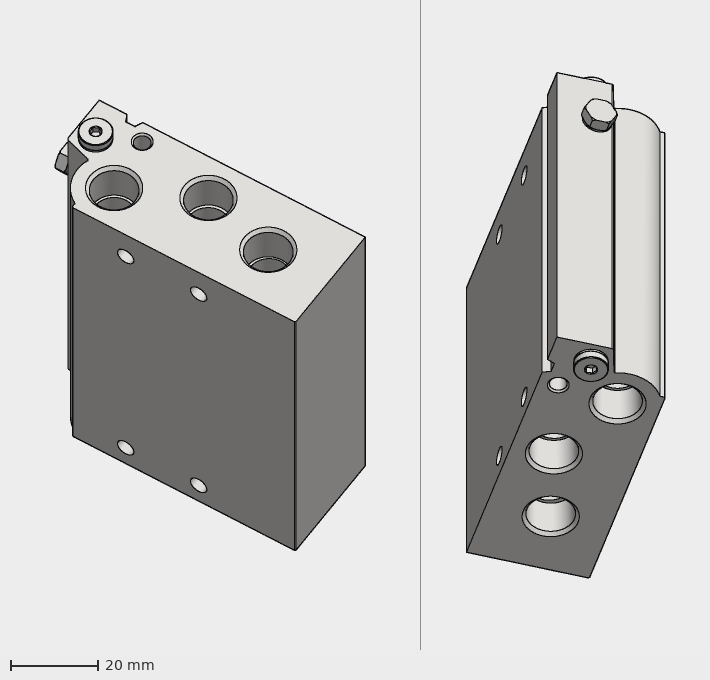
import cadquery as cq
import math


overall_length = 91.3
plug_height = 2.65
housing_length = overall_length - 2 * plug_height
housing_width = 72.95
housing_depth = 29.5
corner_chamfer = 0.3

left_face_end_y = 16.0
boss_radius = 10.0
boss_x = 16.8
boss_y = 9.95
boss_meet_y = 13.6
boss_meet_x = boss_x - math.sqrt(boss_radius**2 - (boss_meet_y - boss_y) ** 2)
foot_x = 11.7

groove_center_x = 9.8
groove_top_width = 4.3
groove_bottom_width = 2.6
groove_depth = 1.9

ports = [
    (boss_x, boss_y, boss_y, 10.0),
    (36.5, 19.4, 19.3, 10.0),
    (56.2, 14.2, 14.6, 9.8),
]
port_diameter = 11.4
port_mouth_diameter = 13.15
port_depth = 10.0

pilot_x = 14.9
pilot_y = 24.7
pilot_diameter = 4.1
pilot_mouth_diameter = 5.0

mount_diameter = 4.5
mount_center_x = 36.4
mount_center_z = -1.1
mount_pitch_x = 20.0
mount_pitch_z = 71.9

plug_x = 5.4
plug_y = 19.7
plug_diameter = 8.0
plug_neck_diameter = 7.9
plug_neck_height = 0.6
plug_edge_chamfer = 0.2
socket_flats = 2.5
socket_mouth_diameter = 3.0
socket_depth = 1.8
countersink_depth = (socket_mouth_diameter - socket_flats) / 2

screw_y = 19.9
screw_z = 30.0
screw_height = 3.5
screw_flats = 6.9
screw_corners = 8.0
screw_neck_diameter = 7.0
screw_neck_height = 0.55
screw_edge_chamfer = 0.4


def flats_to_corners(flats):
    """Corner diameter of a regular hexagon with the given width across flats."""
    return flats / math.cos(math.pi / 6)


def make_profile():
    """Housing cross-section, extruded along Z."""
    foot_y = boss_y - math.sqrt(boss_radius**2 - (boss_x - foot_x) ** 2)
    groove_floor_y = housing_depth - groove_depth
    return (
        cq.Workplane("XY", origin=(0, 0, -housing_length / 2))
        .moveTo(foot_x, 0)
        .lineTo(housing_width, 0)
        .lineTo(housing_width, housing_depth)
        .lineTo(groove_center_x + groove_top_width / 2, housing_depth)
        .lineTo(groove_center_x + groove_bottom_width / 2, groove_floor_y)
        .lineTo(groove_center_x - groove_bottom_width / 2, groove_floor_y)
        .lineTo(groove_center_x - groove_top_width / 2, housing_depth)
        .lineTo(0, housing_depth)
        .lineTo(0, left_face_end_y)
        .lineTo(boss_meet_x, boss_meet_y)
        .threePointArc((boss_x - boss_radius, boss_y), (foot_x, foot_y))
        .close()
        .extrude(housing_length)
    )


def chamfer_corners(body):
    """Break the long corners on the mounting side and along the sloping face."""
    corners = [(housing_width, 0), (foot_x, 0), (0, left_face_end_y), (boss_meet_x, boss_meet_y)]
    for x, y in corners:
        body = body.edges(cq.selectors.NearestToPointSelector((x, y, 0))).chamfer(corner_chamfer)
    return body


def make_hole(x, y, diameter, mouth_diameter, depth):
    """Cutter for a hole down from the top end face with a 45 degree mouth chamfer."""
    mouth_depth = (mouth_diameter - diameter) / 2
    return (
        cq.Workplane("XZ", origin=(x, y, housing_length / 2))
        .lineTo(mouth_diameter / 2, 0)
        .lineTo(diameter / 2, -mouth_depth)
        .lineTo(diameter / 2, -depth)
        .lineTo(0, -depth)
        .close()
        .revolve(360, (0, 0), (0, 1))
    )


def cut_both_ends(body, cutter):
    """Cut the same hole into the top and the bottom end face."""
    return body.cut(cutter).cut(cutter.mirror("XY"))


def make_housing():
    """Block with three ports, a pilot passage and four mounting holes."""
    body = make_profile()
    body = chamfer_corners(body)

    for x, y, passage_y, passage_diameter in ports:
        body = cut_both_ends(body, make_hole(x, y, port_diameter, port_mouth_diameter, port_depth))
        passage = cq.Workplane("XY").center(x, passage_y).circle(passage_diameter / 2)
        body = body.cut(passage.extrude(housing_length / 2, both=True))

    pilot = make_hole(pilot_x, pilot_y, pilot_diameter, pilot_mouth_diameter, housing_length / 2)
    body = cut_both_ends(body, pilot)

    mounts = (
        cq.Workplane("XZ")
        .center(mount_center_x, mount_center_z)
        .rarray(mount_pitch_x, mount_pitch_z, 2, 2)
        .circle(mount_diameter / 2)
        .extrude(-housing_depth)
    )
    return body.cut(mounts)


def make_plug(end):
    """Round plug with a hexagon socket; end is 1 on the top face, -1 on the bottom face."""
    neck = cq.Workplane("XY").circle(plug_neck_diameter / 2).extrude(plug_neck_height)
    head = (
        cq.Workplane("XY", origin=(0, 0, plug_neck_height))
        .circle(plug_diameter / 2)
        .extrude(plug_height - plug_neck_height)
        .faces(">Z")
        .edges()
        .chamfer(plug_edge_chamfer)
    )
    socket = (
        cq.Workplane("XY", origin=(0, 0, plug_height - socket_depth))
        .polygon(6, flats_to_corners(socket_flats))
        .extrude(socket_depth)
        .rotate((0, 0, 0), (0, 0, 1), 30)
    )
    countersink = (
        cq.Workplane("XY", origin=(0, 0, plug_height))
        .circle(socket_mouth_diameter / 2)
        .extrude(-countersink_depth, taper=45)
    )
    plug = neck.union(head).cut(socket).cut(countersink)
    plug = plug.translate((plug_x, plug_y, housing_length / 2))
    return plug if end > 0 else plug.mirror("XY")


def make_screw():
    """Hexagon head on a round neck, pointing out of the left face."""
    neck = cq.Workplane("XY").circle(screw_neck_diameter / 2).extrude(screw_neck_height)
    hexagon = cq.Workplane("XY").polygon(6, flats_to_corners(screw_flats)).extrude(screw_height)
    rounding = (
        cq.Workplane("XY", origin=(0, 0, screw_neck_height))
        .circle(screw_corners / 2)
        .extrude(screw_height - screw_neck_height)
        .edges()
        .chamfer(screw_edge_chamfer)
    )
    screw = neck.union(hexagon.intersect(rounding))
    return (
        screw.rotate((0, 0, 0), (0, 0, 1), 90)
        .rotate((0, 0, 0), (0, 1, 0), -90)
        .translate((0, screw_y, screw_z))
    )


housing = make_housing()
plugs = [make_plug(end) for end in (1, -1)]
screw = make_screw()

result = cq.Compound.makeCompound([housing.val(), *(plug.val() for plug in plugs), screw.val()])